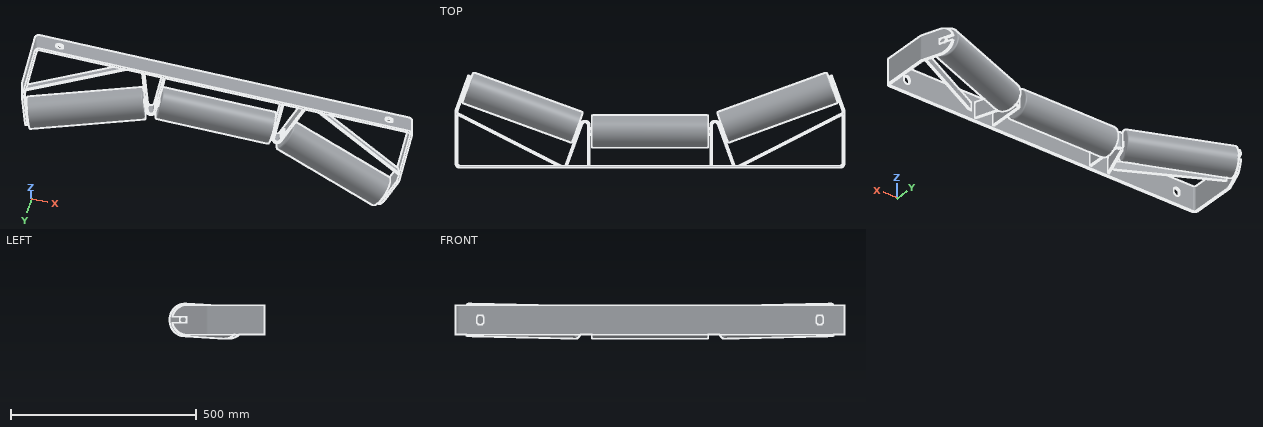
import cadquery as cq
import math

frame_length = 1050.0
strip_height = 80.0
plate = 6.0
bend_radius = 12.0
wall_bend_y = 155.0
tilted_plate_length = 101.5
trough_angle = 20.0

mount_spacing = 916.0
mount_width = 20.0
mount_height = 26.0

bracket_outer_x = 162.3
bracket_top_y = 127.5
bracket_bend_radius = 13.0
bracket_height = 50.0
bracket_plate = 5.0

brace_foot_x = 240.0
brace_wall_y = 148.0
brace_plate = 4.5
brace_height = 26.0

roller_diameter = 89.0
roller_length = 315.0
roller_edge_round = 4.0
shaft_diameter = 20.0
shaft_flat_width = 16.0
center_roller_y = 98.0
roller_drop = 6.85
side_axis_below_bend = 12.5

half_length = frame_length / 2
wall_inner_x = half_length - plate
trough = math.radians(trough_angle)
sin_trough = math.sin(trough)
cos_trough = math.cos(trough)
bend_center_x = bracket_outer_x + bracket_bend_radius
bend_center_y = bracket_top_y - bracket_bend_radius
center_shaft_reach = bracket_outer_x + bracket_plate

plate_outer_face = (half_length - bend_center_x) * cos_trough + (wall_bend_y - bend_center_y) * sin_trough
plate_inner_face = plate_outer_face - plate
side_offset = (bracket_bend_radius + plate_inner_face) / 2
side_inner_reach = side_offset - bracket_bend_radius + bracket_plate
side_outer_reach = plate_outer_face - side_offset

side_roller_x = bend_center_x + side_offset * cos_trough + side_axis_below_bend * sin_trough
side_roller_y = bend_center_y + side_offset * sin_trough - side_axis_below_bend * cos_trough
side_roller_z = -roller_drop / 2

forward_tilt = math.degrees(math.asin(roller_drop / (plate_inner_face - bracket_bend_radius)))


def place_center(body):
    """Move a body lying along X onto the centre roller axis."""
    return body.translate((0, center_roller_y, -roller_drop))


def place_side(body):
    """Move a body lying along X onto the right side roller axis."""
    tilted = body.rotate((0, 0, 0), (0, 1, 0), -forward_tilt)
    raised = tilted.rotate((0, 0, 0), (0, 0, 1), trough_angle)
    return raised.translate((side_roller_x, side_roller_y, side_roller_z))


def bar(points, height):
    """Prism of an XY outline, centred on Z = 0."""
    return cq.Workplane("XY").polyline(points).close().extrude(height / 2, both=True)


def round_end_envelope(tip_x, tip_y):
    """Half-round tip for the tilted plate, leaving everything below it whole."""
    radius = strip_height / 2
    reach = frame_length
    along_plate = cq.Plane(
        origin=(tip_x, tip_y, 0),
        xDir=(-sin_trough, cos_trough, 0),
        normal=(cos_trough, sin_trough, 0),
    )
    return (
        cq.Workplane(along_plate)
        .moveTo(-reach, -radius)
        .lineTo(-radius, -radius)
        .threePointArc((0, 0), (-radius, radius))
        .lineTo(-reach, radius)
        .close()
        .extrude(reach, both=True)
    )


def end_strip():
    """Right half of the strip: base bar, end wall and the tilted plate above it."""
    tip_x = half_length - tilted_plate_length * sin_trough
    tip_y = wall_bend_y + tilted_plate_length * cos_trough
    inner_bend_y = wall_bend_y - plate * math.tan(trough / 2)
    strip = bar(
        [
            (0, 0),
            (half_length, 0),
            (half_length, wall_bend_y),
            (tip_x, tip_y),
            (tip_x - plate * cos_trough, tip_y - plate * sin_trough),
            (wall_inner_x, inner_bend_y),
            (wall_inner_x, plate),
            (0, plate),
        ],
        strip_height,
    )
    inner_radius = bend_radius - plate
    bends = [
        (half_length, 0, bend_radius),
        (wall_inner_x, plate, inner_radius),
        (half_length, wall_bend_y, bend_radius),
        (wall_inner_x, inner_bend_y, inner_radius),
    ]
    for x, y, radius in bends:
        bend_edge = cq.selectors.NearestToPointSelector((x, y, 0))
        strip = strip.edges(bend_edge).fillet(radius)
    return strip.intersect(round_end_envelope(tip_x, tip_y))


def bracket_block(radius):
    """Solid block with the inverted-U outline at the given bend radius."""
    top_x = bend_center_x + radius * cos_trough
    top_y = bend_center_y + radius * sin_trough
    foot_x = top_x + top_y * math.tan(trough)
    return (
        cq.Workplane("XY")
        .workplane(offset=-roller_drop)
        .moveTo(bend_center_x - radius, 0)
        .lineTo(bend_center_x - radius, bend_center_y)
        .threePointArc((bend_center_x, bend_center_y + radius), (top_x, top_y))
        .lineTo(foot_x, 0)
        .close()
        .extrude(bracket_height / 2, both=True)
    )


def bracket():
    """Right inverted-U strip: upright leg, round top and a leg square to the side roller."""
    return bracket_block(bracket_bend_radius).cut(bracket_block(bracket_bend_radius - bracket_plate))


def brace():
    """Right flat bar leaning from the base bar out to the end wall, its ends sunk into both."""
    slope = math.atan2(brace_wall_y - plate, wall_inner_x - brace_foot_x)
    sink = plate / 2
    foot_x = brace_foot_x - sink / math.tan(slope)
    foot_y = plate - sink
    head_x = wall_inner_x + sink
    head_y = brace_wall_y + sink * math.tan(slope)
    return bar(
        [
            (foot_x, foot_y),
            (head_x, head_y),
            (head_x, head_y - brace_plate / math.cos(slope)),
            (foot_x + brace_plate / math.sin(slope), foot_y),
        ],
        brace_height,
    )


def mount_slot():
    """Cutter for the right upright slot through the base bar."""
    return (
        cq.Workplane("XZ")
        .center(mount_spacing / 2, 0)
        .slot2D(mount_height, mount_width, 90)
        .extrude(-plate)
    )


def shaft_slot(start_x, end_x, opening=shaft_diameter / 2):
    """Slot cutter along X with a flat floor under the shaft, rising by the opening above its axis."""
    floor = shaft_diameter / 2
    return (
        cq.Workplane("YZ")
        .workplane(offset=start_x)
        .center((opening - floor) / 2, 0)
        .rect(opening + floor, shaft_flat_width)
        .extrude(end_x - start_x)
    )


def shaft(start_x, end_x):
    """Round shaft along X with two flats."""
    plane = cq.Workplane("YZ").workplane(offset=start_x)
    rod = plane.circle(shaft_diameter / 2).extrude(end_x - start_x)
    return rod.intersect(shaft_slot(start_x, end_x))


def roller(inner_reach, outer_reach):
    """Roller along X with its shaft, centred on the middle of the shell."""
    shell = (
        cq.Workplane("YZ")
        .workplane(offset=-roller_length / 2)
        .circle(roller_diameter / 2)
        .extrude(roller_length)
        .edges()
        .fillet(roller_edge_round)
    )
    return shell.union(shaft(-inner_reach, outer_reach))


def frame():
    """Strip, brackets and braces as one welded body, with the shaft and mounting slots cut."""
    half = end_strip().union(bracket()).union(brace())
    half = half.cut(place_center(shaft_slot(0, center_shaft_reach)))
    half = half.cut(place_side(shaft_slot(-side_inner_reach, 0)))
    half = half.cut(place_side(shaft_slot(0, side_outer_reach + plate, tilted_plate_length)))
    half = half.cut(mount_slot())
    return half.union(half.mirror("YZ"))


welded_frame = frame()
center_roller = place_center(roller(center_shaft_reach, center_shaft_reach))
right_roller = place_side(roller(side_inner_reach, side_outer_reach))
side_rollers = [right_roller, right_roller.mirror("YZ")]

result = cq.Compound.makeCompound(
    [
        welded_frame.val(),
        center_roller.val(),
        *[side_roller.val() for side_roller in side_rollers],
    ]
)